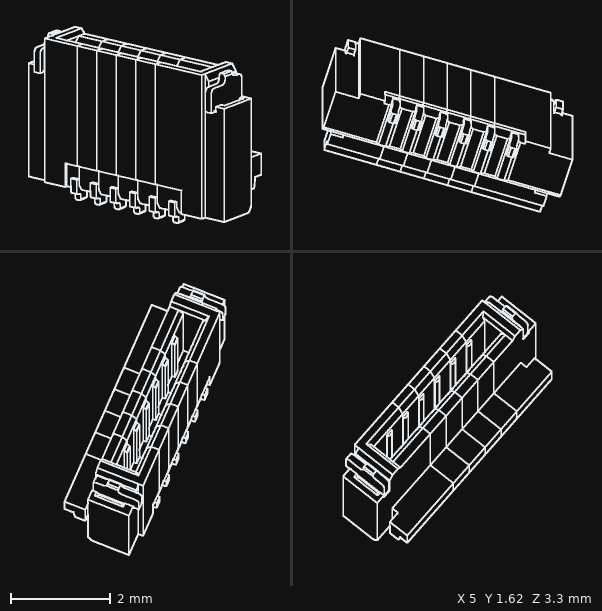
import cadquery as cq
import math


terminal_count = 6
pitch = 0.5
terminal_width = 0.15

length = 5.0
height = 3.04
depth = 1.0
core_width = 4.02
shoulder_width = 4.21
setback = 0.105
shoulder_bevel_height = 0.145
rear_bevel_depth = 0.09
rear_bevel_height = 0.125

cavity_width = 3.53
cavity_front = 0.275
cavity_back = 0.7
cavity_floor = 0.6
back_wall_drop = 0.1
lead_in_side = 0.08
lead_in_depth = 0.105
lead_in_height = 0.21

contact_top = 2.63
back_contact_height = 0.065
back_contact_slope = 0.055
back_contact_slope_drop = 0.07
back_contact_nose_drop = 0.03
front_contact_height = 0.04
front_contact_side = 0.015
front_contact_drop = 0.065

shelf_bottom = 0.36
shelf_top = 1.04
shelf_back = 1.605
shelf_width = 4.56
shelf_neck_width = 4.05
shelf_neck_back = 1.15
shelf_lip_bottom = 0.59
shelf_foot_back = 1.375
shelf_foot_draft = 0.035

recess_width = 2.97
recess_height = 0.5
recess_depth = 0.06
groove_height = 0.09
groove_mouth_width = 0.275

tail_front = -0.015
tail_top = 0.215
tail_pad_bottom = -0.1
tail_bottom = -0.26
tail_foot_front = 0.12
tail_foot_back = 0.32
tail_outer_radius = 0.04
tail_inner_radius = 0.05
tail_tip_chamfer = 0.035

wing_top = 2.395
slot_depth = 0.11
slot_outer = 2.285
funnel_outer = 2.37
funnel_front = 0.285
funnel_back = 0.905

tab_width = 0.15
tab_center = 2.19
tab_front = -0.015
tab_back = 0.985
tab_arm_top = 2.79
tab_shoulder_top = 2.89
tab_top = 3.0
tab_crest_front = 0.435
tab_crest_back = 0.685
tab_radius = 0.1
tab_leg_radius = 0.025
tab_crest_bevel_width = 0.03
tab_crest_bevel_height = 0.05

first_terminal_x = -pitch * (terminal_count - 1) / 2
terminal_xs = [first_terminal_x + pitch * i for i in range(terminal_count)]
section_edges = [-length / 2] + [x + terminal_width / 2 for x in terminal_xs[:-1]] + [length / 2]
back_wall_top = height - back_wall_drop
lead_in_bottom = height - lead_in_height
slot_floor = wing_top - slot_depth


def box(x_range, y_range, z_range):
    """Block between the given limits along each axis."""
    return cq.Workplane("XY").box(
        x_range[1] - x_range[0],
        y_range[1] - y_range[0],
        z_range[1] - z_range[0],
        centered=False,
    ).translate((x_range[0], y_range[0], z_range[0]))


def wide_box(width, y_range, z_range):
    """Block centred on X = 0."""
    return box((-width / 2, width / 2), y_range, z_range)


def side_profile(width):
    """Workplane for (Y, Z) outlines that are extruded by `width` along +X, centred on X = 0."""
    return cq.Workplane("YZ", origin=(-width / 2, 0, 0))


def mirrored_pair(shape):
    """The shape together with its mirror image across X = 0."""
    return shape.union(shape.mirror("YZ"))



def make_shoulders():
    bevel_width = (shoulder_width - core_width) / 2
    bevel_bottom = height - shoulder_bevel_height
    return (
        cq.Workplane("XZ", origin=(0, depth, 0))
        .polyline([
            (-shoulder_width / 2, 0),
            (shoulder_width / 2, 0),
            (shoulder_width / 2, bevel_bottom),
            (shoulder_width / 2 - bevel_width, height),
            (-shoulder_width / 2 + bevel_width, height),
            (-shoulder_width / 2, bevel_bottom),
        ])
        .close()
        .extrude(depth - setback)
    )


def make_wings():
    """End blocks, each with a slot and a funnel-shaped mouth for its tab."""
    wing = box((core_width / 2, length / 2), (setback, depth), (0, wing_top))
    slot = box((core_width / 2, slot_outer), (setback, depth), (slot_floor, wing_top))
    funnel_taper = math.degrees(math.atan2(funnel_outer - slot_outer, slot_depth))
    funnel = (
        cq.Workplane("XY", origin=(tab_center, (funnel_front + funnel_back) / 2, wing_top))
        .rect(2 * (funnel_outer - tab_center), funnel_back - funnel_front)
        .extrude(-slot_depth, taper=funnel_taper)
    )
    return mirrored_pair(wing.cut(slot).cut(funnel))


def make_shelf():
    neck = wide_box(shelf_neck_width, (depth, shelf_neck_back), (shelf_bottom, shelf_top))
    ledge = (
        side_profile(shelf_width)
        .polyline([
            (shelf_neck_back, shelf_bottom),
            (shelf_foot_back, shelf_bottom),
            (shelf_foot_back + shelf_foot_draft, shelf_lip_bottom),
            (shelf_back, shelf_lip_bottom),
            (shelf_back, shelf_top),
            (shelf_neck_back, shelf_top),
        ])
        .close()
        .extrude(shelf_width)
    )
    return neck.union(ledge)


def make_cavity():
    """Space for the mating plug, with a sloped mouth that is open to the rear."""
    well = wide_box(cavity_width, (cavity_front, cavity_back), (cavity_floor, height))
    mouth_width = cavity_width + 2 * lead_in_side
    mouth_front_outline = (
        cq.Workplane("XZ", origin=(0, depth, 0))
        .polyline([
            (-cavity_width / 2, lead_in_bottom),
            (cavity_width / 2, lead_in_bottom),
            (cavity_width / 2, back_wall_top),
            (mouth_width / 2, height),
            (-mouth_width / 2, height),
            (-cavity_width / 2, back_wall_top),
        ])
        .close()
        .extrude(depth)
    )
    mouth_side_outline = (
        side_profile(mouth_width)
        .polyline([
            (cavity_front, lead_in_bottom),
            (cavity_back, lead_in_bottom),
            (cavity_back + lead_in_depth, back_wall_top),
            (depth, back_wall_top),
            (depth, height),
            (cavity_front - lead_in_depth, height),
        ])
        .close()
        .extrude(mouth_width)
    )
    return well.union(mouth_front_outline.intersect(mouth_side_outline))


def make_rear_bevel():
    return (
        side_profile(length)
        .polyline([(depth - rear_bevel_depth, 0), (depth, 0), (depth, rear_bevel_height)])
        .close()
        .extrude(length)
    )


def make_terminal_groove(x):
    return (
        cq.Workplane("XZ", origin=(x, depth, 0))
        .polyline([
            (-groove_mouth_width / 2, 0),
            (groove_mouth_width / 2, 0),
            (terminal_width / 2, groove_height),
            (-terminal_width / 2, groove_height),
        ])
        .close()
        .extrude(depth)
    )


def make_housing_form():
    """Plastic form over the full length, before it is divided into sections."""
    form = wide_box(core_width, (0, depth), (0, height))
    form = form.union(make_shoulders()).union(make_wings()).union(make_shelf())
    form = form.cut(make_cavity()).cut(make_rear_bevel())
    form = form.cut(wide_box(recess_width, (0, recess_depth), (0, recess_height)))
    for x in terminal_xs:
        form = form.cut(make_terminal_groove(x))
    return form



def make_tail(x):
    """Solder tail: a pad in front of the recess and a foot below the housing."""
    tail = (
        side_profile(terminal_width)
        .moveTo(tail_front, tail_top)
        .lineTo(recess_depth, tail_top)
        .lineTo(recess_depth, groove_height)
        .lineTo(tail_foot_back, groove_height)
        .lineTo(tail_foot_back, tail_bottom)
        .lineTo(tail_foot_front, tail_bottom)
        .lineTo(tail_foot_front, tail_pad_bottom - tail_inner_radius)
        .radiusArc((tail_foot_front - tail_inner_radius, tail_pad_bottom), -tail_inner_radius)
        .lineTo(tail_front + tail_outer_radius, tail_pad_bottom)
        .radiusArc((tail_front, tail_pad_bottom + tail_outer_radius), tail_outer_radius)
        .close()
        .extrude(terminal_width)
        .faces("<Z").edges("|Y").chamfer(tail_tip_chamfer)
    )
    return tail.translate((x, 0, 0))


def make_contacts(x):
    """Contact ribs on the back and front walls of the cavity."""
    nose_top = contact_top - back_contact_slope_drop
    back_rib = (
        side_profile(terminal_width)
        .polyline([
            (cavity_back, cavity_floor),
            (cavity_back, contact_top),
            (cavity_back - back_contact_slope, nose_top),
            (cavity_back - back_contact_height, nose_top - back_contact_nose_drop),
            (cavity_back - back_contact_height, cavity_floor),
        ])
        .close()
        .extrude(terminal_width)
    )
    half_width = terminal_width / 2
    front_rib = (
        cq.Workplane("XY", origin=(0, cavity_front, cavity_floor))
        .moveTo(-half_width, 0)
        .lineTo(half_width, 0)
        .lineTo(half_width, front_contact_side)
        .threePointArc((0, front_contact_height), (-half_width, front_contact_side))
        .close()
        .extrude(contact_top - cavity_floor)
    )
    front_slope = (
        side_profile(terminal_width)
        .polyline([
            (cavity_front, contact_top),
            (cavity_front + front_contact_height, contact_top),
            (cavity_front + front_contact_height, contact_top - front_contact_drop),
        ])
        .close()
        .extrude(terminal_width)
    )
    front_rib = front_rib.cut(front_slope)
    return back_rib.union(front_rib).translate((x, 0, 0))


def make_tab(x):
    """Mounting tab standing in a wing slot, with its leg in front of the wing."""
    bend = tab_radius * math.sqrt(0.5)
    crest_foot_z = tab_shoulder_top + tab_radius
    tab = (
        side_profile(tab_width)
        .moveTo(tab_back, slot_floor)
        .lineTo(tab_back, tab_shoulder_top - tab_radius)
        .threePointArc(
            (tab_back - tab_radius + bend, tab_shoulder_top - tab_radius + bend),
            (tab_back - tab_radius, tab_shoulder_top),
        )
        .lineTo(tab_crest_back + tab_radius, tab_shoulder_top)
        .threePointArc(
            (tab_crest_back + tab_radius - bend, crest_foot_z - bend),
            (tab_crest_back, crest_foot_z),
        )
        .lineTo(tab_crest_back, tab_top)
        .lineTo(tab_crest_front, tab_top)
        .lineTo(tab_crest_front, tab_arm_top + tab_radius)
        .threePointArc(
            (tab_crest_front - tab_radius + bend, tab_arm_top + tab_radius - bend),
            (tab_crest_front - tab_radius, tab_arm_top),
        )
        .lineTo(tab_front + tab_radius, tab_arm_top)
        .threePointArc(
            (tab_front + tab_radius - bend, tab_arm_top - tab_radius + bend),
            (tab_front, tab_arm_top - tab_radius),
        )
        .lineTo(tab_front, slot_floor)
        .lineTo(setback - tab_leg_radius, slot_floor)
        .radiusArc((setback, slot_floor + tab_leg_radius), -tab_leg_radius)
        .lineTo(setback, slot_floor)
        .close()
        .extrude(tab_width)
    )
    crest_bevel = (
        cq.Workplane("XZ", origin=(0, tab_crest_back + tab_radius, 0))
        .polyline([
            (tab_width / 2, tab_top),
            (tab_width / 2, tab_top - tab_crest_bevel_height),
            (tab_width / 2 - tab_crest_bevel_width, tab_top),
        ])
        .close()
        .extrude(tab_crest_back + tab_radius - tab_crest_front)
    )
    return tab.cut(mirrored_pair(crest_bevel)).translate((x, 0, 0))



housing_form = make_housing_form()


def make_section(index):
    """One slice of the housing joined with its terminal."""
    span = (section_edges[index], section_edges[index + 1])
    slab = box(span, (0, shelf_back), (0, height))
    x = terminal_xs[index]
    return housing_form.intersect(slab).union(make_tail(x)).union(make_contacts(x))


left_end = make_section(0).union(make_tab(-tab_center))
middle_sections = [make_section(i) for i in range(1, terminal_count - 1)]
right_end = make_section(terminal_count - 1).union(make_tab(tab_center))

result = cq.Compound.makeCompound([
    left_end.val(),
    *[section.val() for section in middle_sections],
    right_end.val(),
])